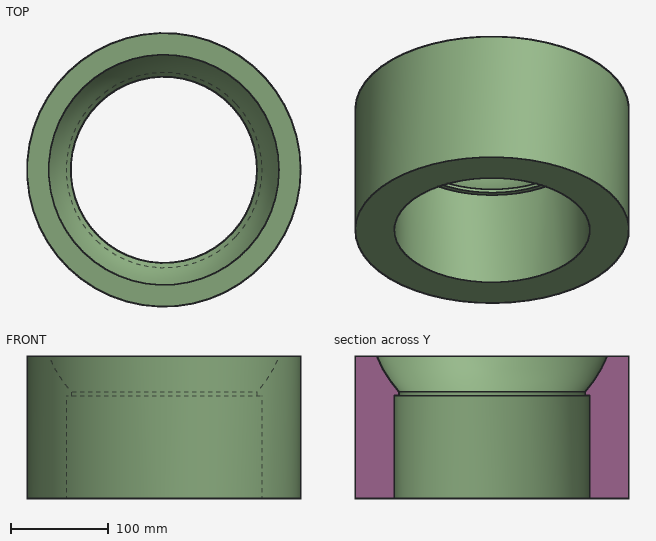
import cadquery as cq
import math

outer_diameter = 280.0
height = 146.0
bore_diameter = 200.0

lip_diameter = 190.0
lip_thickness = 4.0
seat_sphere_diameter = 254.0
seat_mouth_diameter = 235.5


def sphere_depth(circle_diameter):
    """Distance from the sphere centre down to the circle of this diameter."""
    return math.sqrt(seat_sphere_diameter**2 - circle_diameter**2) / 2


sphere_center_z = height + sphere_depth(seat_mouth_diameter)
lip_top_z = sphere_center_z - sphere_depth(lip_diameter)
lip_bottom_z = lip_top_z - lip_thickness

seat_middle_diameter = (seat_mouth_diameter + lip_diameter) / 2
seat_middle_z = sphere_center_z - sphere_depth(seat_middle_diameter)

half_section = (
    cq.Workplane("XZ")
    .moveTo(bore_diameter / 2, 0)
    .lineTo(outer_diameter / 2, 0)
    .lineTo(outer_diameter / 2, height)
    .lineTo(seat_mouth_diameter / 2, height)
    .threePointArc((seat_middle_diameter / 2, seat_middle_z), (lip_diameter / 2, lip_top_z))
    .lineTo(lip_diameter / 2, lip_bottom_z)
    .lineTo(bore_diameter / 2, lip_bottom_z)
    .close()
)
result = half_section.revolve(360, (0, 0, 0), (0, 1, 0))